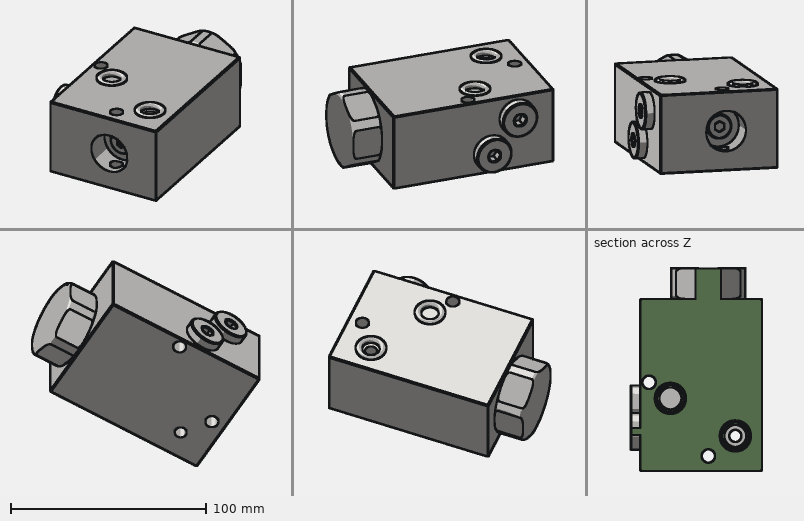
import cadquery as cq
import math

block_x = 62.5
block_y = 88.2
block_z = 41.3
edge_chamfer = 0.5

axis_x = 34.9
axis_z = block_z / 2

overall_y = 104
cap_length = overall_y - block_y
cap_across_flats = 38.1
cap_corner_diameter = block_z
cap_rounding = 1.8

bore_diameter = 21.1
bore_depth = 13.7
screw_diameter = 12.7
screw_height = 1.6
screw_chamfer = 0.5
screw_socket_across_flats = 4.9
screw_socket_depth = 1.0

plug_places = [(20.3, 29.4), (34.4, 11.5)]
plug_diameter = 19.0
plug_height = 5.0
plug_chamfer = 0.5
plug_socket_across_flats = 6.0
plug_socket_depth = 6.0
plug_countersink_diameter = 7.2

mounting_hole_diameter = 6.8
mounting_hole_places = [(4.6, 45.5), (axis_x, 7.7)]

blind_port_place = (15.5, 37.2)
through_port_place = (48.8, 18.0)
port_hole_diameter = 6.1
ring_tube_radius = 1.8
ring_middle_radius = 6.2
ring_stand_out = 0.8
ring_bite = 0.1
ring_center_z = block_z + ring_stand_out - ring_tube_radius


def along_y(y):
    """Sketch plane across the main axis at y, facing the back (+Y)."""
    return cq.Workplane(cq.Plane(origin=(axis_x, y, axis_z), xDir=(0, 0, 1), normal=(0, 1, 0)))


def toward_left(x, y, z):
    """Sketch plane facing the left side (-X)."""
    return cq.Workplane(cq.Plane(origin=(x, y, z), xDir=(0, 1, 0), normal=(-1, 0, 0)))


def hexagon_corners(across_flats):
    """Diameter over the corners of a hexagon."""
    return across_flats / math.cos(math.pi / 6)


def vertical_hole(place, diameter):
    return cq.Workplane("XY").center(*place).circle(diameter / 2).extrude(block_z)


def hexagon_cap():
    hexagon = along_y(block_y).polygon(6, hexagon_corners(cap_across_flats)).extrude(cap_length)
    round_bar = along_y(block_y).circle(cap_corner_diameter / 2).extrude(cap_length)
    return hexagon.intersect(round_bar.edges().fillet(cap_rounding))


def adjusting_screw():
    tip_y = bore_depth - screw_height
    screw = along_y(tip_y).circle(screw_diameter / 2).extrude(screw_height)
    screw = screw.faces("<Y").chamfer(screw_chamfer)
    socket = along_y(tip_y).polygon(6, hexagon_corners(screw_socket_across_flats)).extrude(screw_socket_depth)
    return screw.cut(socket)


def plug(y, z):
    head = toward_left(0, y, z).circle(plug_diameter / 2).extrude(plug_height)
    return head.faces("<X").chamfer(plug_chamfer)


def plug_socket(y, z):
    mouth = toward_left(-plug_height, y, z)
    hexagon = mouth.polygon(6, hexagon_corners(plug_socket_across_flats)).extrude(-plug_socket_depth)
    countersink_depth = (plug_countersink_diameter - plug_socket_across_flats) / 2
    countersink = mouth.circle(plug_countersink_diameter / 2).extrude(-countersink_depth, taper=45)
    return hexagon.union(countersink)


def ring_recess(place):
    floor_z = ring_center_z - ring_tube_radius + ring_bite
    wall_radius = ring_middle_radius + ring_tube_radius - ring_bite
    return cq.Workplane("XY", origin=(*place, floor_z)).circle(wall_radius).extrude(block_z - floor_z)


def o_ring(place):
    torus = cq.Solid.makeTorus(ring_middle_radius, ring_tube_radius)
    return cq.Workplane(torus.translate(cq.Vector(*place, ring_center_z)))


block = cq.Workplane("XY").box(block_x, block_y, block_z, centered=False).edges().chamfer(edge_chamfer)
result = block.union(hexagon_cap())

result = result.cut(along_y(0).circle(bore_diameter / 2).extrude(bore_depth))
result = result.union(adjusting_screw())

for place in plug_places:
    result = result.union(plug(*place))
for place in plug_places:
    result = result.cut(plug_socket(*place))

for place in mounting_hole_places:
    result = result.cut(vertical_hole(place, mounting_hole_diameter))

result = result.cut(vertical_hole(through_port_place, port_hole_diameter))
for place in (blind_port_place, through_port_place):
    result = result.cut(ring_recess(place)).union(o_ring(place))